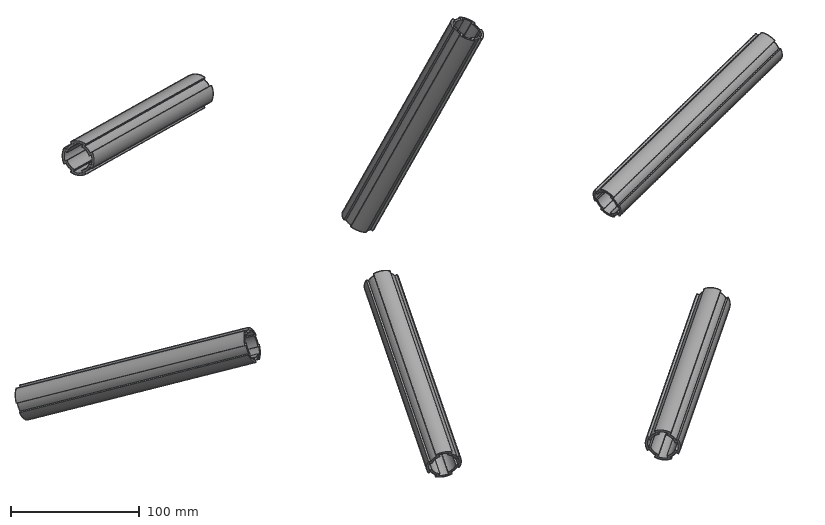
import cadquery as cq
import math

length = 200.0
outer_radius = 14.0
web_outer_radius = 12.0
wall = 1.85
lobe_half_angle = 28.5
lobe_count = 4

lobe_pitch = 360.0 / lobe_count


def polar(radius, angle):
    """Point in the section plane at a radius and an angle in degrees."""
    return (radius * math.cos(math.radians(angle)), radius * math.sin(math.radians(angle)))


def stepped_outline(inset):
    """Closed outline of lobe arcs and web arcs joined by straight steps, moved inward by inset."""
    lobe_radius = outer_radius - inset
    web_radius = web_outer_radius - inset
    lobe_corner = lobe_half_angle - math.degrees(math.asin(inset / lobe_radius))
    web_corner = lobe_half_angle - math.degrees(math.asin(inset / web_radius))

    outline = cq.Workplane("XZ").moveTo(*polar(web_radius, -web_corner))
    for index in range(lobe_count):
        lobe_middle = index * lobe_pitch
        web_middle = lobe_middle + lobe_pitch / 2
        web_end = lobe_middle + lobe_pitch - web_corner
        outline = outline.lineTo(*polar(lobe_radius, lobe_middle - lobe_corner))
        outline = outline.threePointArc(
            polar(lobe_radius, lobe_middle), polar(lobe_radius, lobe_middle + lobe_corner)
        )
        outline = outline.lineTo(*polar(web_radius, lobe_middle + web_corner))
        outline = outline.threePointArc(polar(web_radius, web_middle), polar(web_radius, web_end))
    return outline.close()


def tube_body(inset):
    """Full-length bar along Y, centred on the origin, with the inset outline as its section."""
    return stepped_outline(inset).extrude(length / 2, both=True)


result = tube_body(0).cut(tube_body(wall))